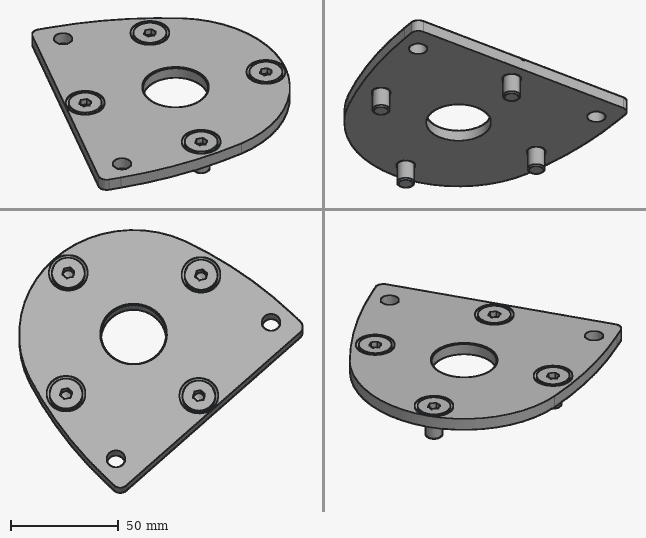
import cadquery as cq
import math

plate_width = 120.0
plate_thickness = 6.0
crown_radius = 53.0
base_distance = crown_radius
crown_end_y = 17.5
side_edge_top_y = -43.3
corner_radius = 4.0

bore_diameter = 30.0
bore_chamfer = 0.5
bore_chamfer_angle = 90.0
mount_hole_diameter = 8.5
mount_hole_spacing = 100.0
mount_hole_offset = 40.0

screw_count = 4
screw_circle_diameter = 87.0
clearance_diameter = 8.8
countersink_diameter = 18.0
countersink_angle = 90.0
countersink_step = 0.4

shank_diameter = 8.0
screw_length = 16.0
head_diameter = 15.2
head_recess = 0.08
tip_chamfer = 0.7
socket_across_flats = 5.0
socket_depth = 3.0
socket_point_angle = 120.0


def cone_height(large_diameter, small_diameter, included_angle):
    """Axial length of a cone between two diameters."""
    return (large_diameter - small_diameter) / 2 / math.tan(math.radians(included_angle / 2))


def plate_blank():
    """D-shaped plate: round crown, bowed sides, short straight edges and rounded base corners."""
    half_width = plate_width / 2
    crown_end_x = math.sqrt(crown_radius**2 - crown_end_y**2)

    inset = half_width - crown_end_x
    rise = crown_end_y - side_edge_top_y
    side_radius = (inset**2 + rise**2) / (2 * inset)
    half_sweep = math.atan2(inset, rise)
    side_middle_x = half_width - side_radius * (1 - math.cos(half_sweep))
    side_middle_y = side_edge_top_y + side_radius * math.sin(half_sweep)

    return (
        cq.Workplane("XY")
        .moveTo(-half_width, -base_distance)
        .lineTo(half_width, -base_distance)
        .lineTo(half_width, side_edge_top_y)
        .threePointArc((side_middle_x, side_middle_y), (crown_end_x, crown_end_y))
        .threePointArc((0, crown_radius), (-crown_end_x, crown_end_y))
        .threePointArc((-side_middle_x, side_middle_y), (-half_width, side_edge_top_y))
        .close()
        .extrude(plate_thickness)
        .edges("|Z and <Y")
        .fillet(corner_radius)
    )


def cut_bore(plate):
    """Central through bore with a chamfered top rim."""
    rim_diameter = bore_diameter + 2 * bore_chamfer
    return (
        plate.faces(">Z").workplane(origin=(0, 0, 0))
        .cskHole(bore_diameter, rim_diameter, bore_chamfer_angle)
    )


def cut_mount_holes(plate):
    """Plain through hole near each base corner."""
    half_spacing = mount_hole_spacing / 2
    centers = [(-half_spacing, -mount_hole_offset), (half_spacing, -mount_hole_offset)]
    return (
        plate.faces(">Z").workplane(origin=(0, 0, 0))
        .pushPoints(centers)
        .hole(mount_hole_diameter)
    )


def cut_screw_seats(plate):
    """Clearance hole, countersink and shallow cylindrical step at each screw position."""
    return (
        plate.faces(">Z").workplane(origin=(0, 0, 0))
        .pushPoints(screw_centers)
        .circle(countersink_diameter / 2)
        .cutBlind(-countersink_step)
        .faces(">Z").workplane(origin=(0, 0, 0), offset=-countersink_step)
        .pushPoints(screw_centers)
        .cskHole(clearance_diameter, countersink_diameter, countersink_angle)
    )


def make_screw(center):
    """Countersunk screw whose head cone rests on the seat, with a hexagon socket in the head."""
    top = plate_thickness - head_recess
    tip = top - screw_length
    shank_radius = shank_diameter / 2
    head_radius = head_diameter / 2
    cone_top = plate_thickness - countersink_step
    seat_bottom = cone_top - cone_height(countersink_diameter, shank_diameter, countersink_angle)
    head_rim_bottom = cone_top - cone_height(countersink_diameter, head_diameter, countersink_angle)

    body = (
        cq.Workplane("XZ")
        .moveTo(0, tip)
        .lineTo(shank_radius - tip_chamfer, tip)
        .lineTo(shank_radius, tip + tip_chamfer)
        .lineTo(shank_radius, seat_bottom)
        .lineTo(head_radius, head_rim_bottom)
        .lineTo(head_radius, top)
        .lineTo(0, top)
        .close()
        .revolve(360, (0, 0, 0), (0, 1, 0))
    )

    socket = (
        cq.Workplane("XY", origin=(0, 0, top))
        .polygon(6, socket_across_flats, circumscribed=True)
        .extrude(-socket_depth)
    )
    socket_floor = top - socket_depth
    point_height = cone_height(socket_across_flats, 0, socket_point_angle)
    drill_point = cq.Workplane(
        cq.Solid.makeCone(
            socket_across_flats / 2, 0, point_height, cq.Vector(0, 0, socket_floor), cq.Vector(0, 0, -1)
        )
    )
    return body.cut(socket).cut(drill_point).translate((*center, 0))


screw_centers = []
for index in range(screw_count):
    angle = 2 * math.pi * index / screw_count
    x = screw_circle_diameter / 2 * math.cos(angle)
    y = screw_circle_diameter / 2 * math.sin(angle)
    screw_centers.append((x, y))

plate = plate_blank()
plate = cut_bore(plate)
plate = cut_mount_holes(plate)
plate = cut_screw_seats(plate)

screws = [make_screw(center) for center in screw_centers]

result = cq.Compound.makeCompound([plate.solids().val(), *[screw.solids().val() for screw in screws]])